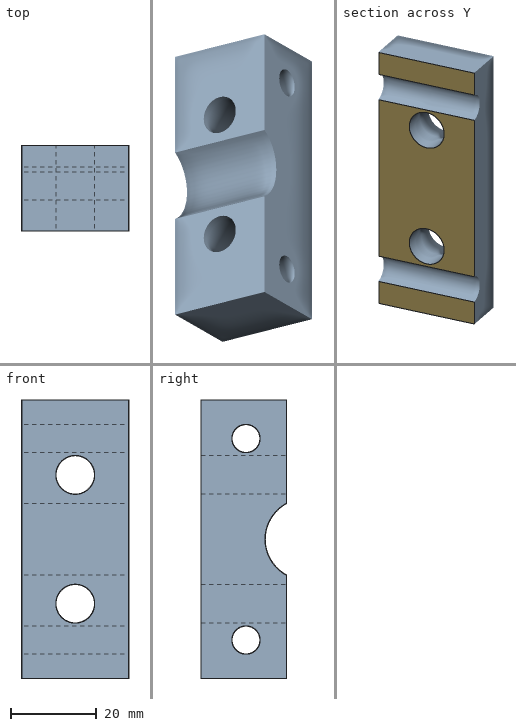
import cadquery as cq

width = 25.0
depth = 20.0
height = 65.0
back_y = depth / 2

depth_hole_diameter = 9.0
depth_hole_spacing = 30.0

cross_hole_diameter = 6.5
cross_hole_spacing = 47.0
cross_hole_from_back = 9.5

saddle_radius = 9.5
saddle_depth = 5.0


def rod_along_x(diameter, y, z):
    """Cylinder spanning the full width at the given Y and Z."""
    return (
        cq.Workplane("YZ")
        .center(y, z)
        .circle(diameter / 2)
        .extrude(width / 2, both=True)
    )


def rod_along_y(diameter, z):
    """Cylinder spanning the full depth on the middle plane at the given Z."""
    return (
        cq.Workplane("XZ")
        .center(0, z)
        .circle(diameter / 2)
        .extrude(depth / 2, both=True)
    )


result = cq.Workplane("XY").box(width, depth, height)

for side in (-1, 1):
    depth_hole_z = side * depth_hole_spacing / 2
    cross_hole_z = side * cross_hole_spacing / 2
    cross_hole_y = back_y - cross_hole_from_back
    result = result.cut(rod_along_y(depth_hole_diameter, depth_hole_z))
    result = result.cut(rod_along_x(cross_hole_diameter, cross_hole_y, cross_hole_z))

saddle_axis_y = back_y - saddle_depth + saddle_radius
result = result.cut(rod_along_x(2 * saddle_radius, saddle_axis_y, 0))